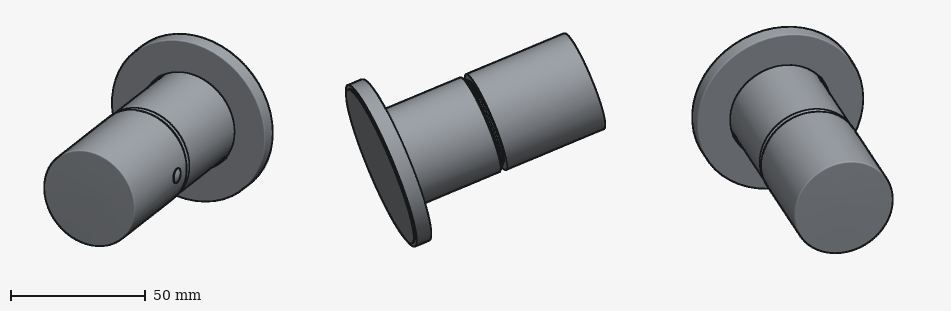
import cadquery as cq
LENGTH = 83.6

BACKING_RADIUS = 30.9
BACKING_THICKNESS = 0.6

FLANGE_RADIUS = 32.5
FLANGE_FRONT = 6.7
FLANGE_BORE_RADIUS = 19.6
FLANGE_FILLET = 0.5

SLEEVE_RADIUS = 19.05
SLEEVE_FRONT = 41.45
SLEEVE_CHAMFER = 0.8

NECK_RADIUS = 17.4
NECK_STRAIGHT_LENGTH = 0.8
NECK_FRONT_RADIUS = 16.55

HANDLE_RADIUS = 19.3
HANDLE_BACK = 43.1
HANDLE_FILLET = 0.5
HANDLE_DOME_HEIGHT = 0.3

BUTTON_RADIUS = 2.9
BUTTON_POSITION = 50.3
BUTTON_TIP = 20.05
BUTTON_DOME_HEIGHT = 1.0
BUTTON_PLUG_LENGTH = 0.8


def disc(radius, back, front):
    """Solid cylinder on the Y axis between two distances from the wall."""
    return cq.Workplane("XZ", origin=(0, -back, 0)).circle(radius).extrude(front - back)


def revolve_about_y(profile):
    """Full turn of a closed half profile lying in the XY plane."""
    return profile.close().revolve(360, (0, 0, 0), (0, 1, 0))


def make_backing():
    return disc(BACKING_RADIUS, 0, BACKING_THICKNESS)


def make_flange():
    plate = disc(FLANGE_RADIUS, BACKING_THICKNESS, FLANGE_FRONT)
    plate = plate.faces("<Y").edges().fillet(FLANGE_FILLET)
    return plate.cut(disc(FLANGE_BORE_RADIUS, BACKING_THICKNESS, FLANGE_FRONT))


def make_sleeve():
    sleeve = disc(SLEEVE_RADIUS, BACKING_THICKNESS, SLEEVE_FRONT)
    return sleeve.faces("<Y").edges().chamfer(SLEEVE_CHAMFER)


def make_neck():
    """Short straight collar that tapers down towards the handle."""
    taper_start = SLEEVE_FRONT + NECK_STRAIGHT_LENGTH
    profile = (
        cq.Workplane("XY")
        .moveTo(0, -SLEEVE_FRONT)
        .lineTo(NECK_RADIUS, -SLEEVE_FRONT)
        .lineTo(NECK_RADIUS, -taper_start)
        .lineTo(NECK_FRONT_RADIUS, -HANDLE_BACK)
        .lineTo(0, -HANDLE_BACK)
    )
    return revolve_about_y(profile)


def make_button():
    """Short plug along X with a domed outer end, turned about its own axis."""
    cap_base = BUTTON_TIP - BUTTON_DOME_HEIGHT
    dome_radius = (BUTTON_RADIUS**2 + BUTTON_DOME_HEIGHT**2) / (2 * BUTTON_DOME_HEIGHT)
    profile = (
        cq.Workplane("XY", origin=(cap_base, -BUTTON_POSITION, 0))
        .moveTo(-BUTTON_PLUG_LENGTH, 0)
        .lineTo(-BUTTON_PLUG_LENGTH, BUTTON_RADIUS)
        .lineTo(0, BUTTON_RADIUS)
        .radiusArc((BUTTON_DOME_HEIGHT, 0), dome_radius)
        .close()
    )
    return profile.revolve(360, (0, 0, 0), (1, 0, 0))


def make_handle(button):
    """Cylinder with a shallow domed end, a rounded rim and a recess that fits the button."""
    rim_front = LENGTH - HANDLE_DOME_HEIGHT
    face_radius = HANDLE_RADIUS - HANDLE_FILLET
    dome_radius = (face_radius**2 + HANDLE_DOME_HEIGHT**2) / (2 * HANDLE_DOME_HEIGHT)
    profile = (
        cq.Workplane("YZ")
        .moveTo(-HANDLE_BACK, 0)
        .lineTo(-HANDLE_BACK, HANDLE_RADIUS)
        .lineTo(HANDLE_FILLET - rim_front, HANDLE_RADIUS)
        .radiusArc((-rim_front, face_radius), -HANDLE_FILLET)
        .radiusArc((-LENGTH, 0), -dome_radius)
        .close()
    )
    body = profile.revolve(360, (0, 0, 0), (1, 0, 0))
    return body.cut(button)


backing = make_backing()
flange = make_flange()
sleeve = make_sleeve()
neck = make_neck()
button = make_button()
handle = make_handle(button)

result = cq.Compound.makeCompound(
    [backing.val(), flange.val(), sleeve.val(), neck.val(), handle.val(), button.val()]
)